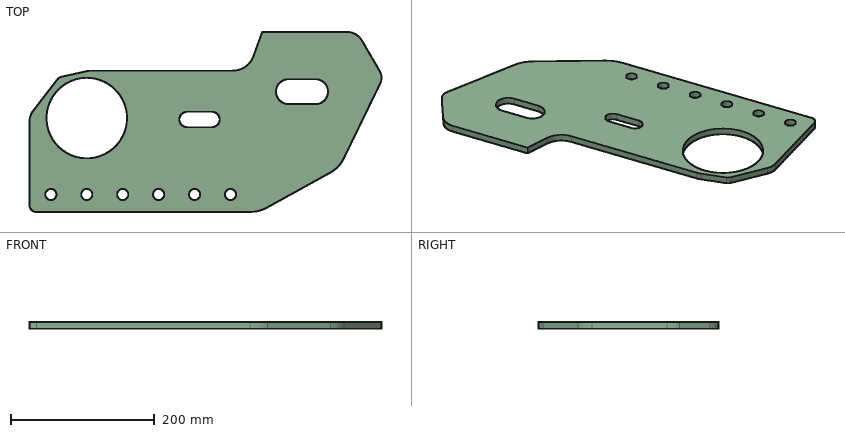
import cadquery as cq

thickness = 10.0
height = 251.0
shoulder_height = 197.0

outline_corners = [
    (0, 0, 10.0),
    (320.0, 0, 50.0),
    (431.5, 62.0, 45.0),
    (493.0, 188.0, 18.0),
    (456.0, height, 25.0),
    (324.0, height, 0),
    (304.5, shoulder_height, 30.0),
    (83.5, shoulder_height, 25.0),
    (41.0, 188.0, 10.0),
    (0, 134.5, 25.0),
]

opening_diameter = 112.0
opening_center = (80.0, 131.0)

small_slot_length = 56.0
small_slot_width = 21.0
small_slot_center = (237.0, 129.0)
large_slot_length = 72.0
large_slot_width = 34.5
large_slot_center = (379.5, 167.5)

hole_count = 6
hole_diameter = 15.0
hole_pitch = 50.0
first_hole_x = 30.0
hole_row_y = 24.5


def make_plate():
    """Extrude the polygon and round its vertical edges corner by corner."""
    points = [(x, y) for x, y, _ in outline_corners]
    plate = cq.Workplane("XY").polyline(points).close().extrude(thickness)
    for x, y, radius in outline_corners:
        if radius > 0:
            corner_edge = cq.selectors.NearestToPointSelector((x, y, thickness / 2))
            plate = plate.edges("|Z").edges(corner_edge).fillet(radius)
    return plate


def cut_slot(plate, center, length, width):
    """Cut a round-ended slot along X through the plate."""
    cutter = cq.Workplane("XY").center(*center).slot2D(length, width).extrude(thickness)
    return plate.cut(cutter)


def cut_round_holes(plate, centers, diameter):
    """Cut equal round holes through the plate."""
    cutters = cq.Workplane("XY").pushPoints(centers).circle(diameter / 2).extrude(thickness)
    return plate.cut(cutters)


hole_centers = [(first_hole_x + i * hole_pitch, hole_row_y) for i in range(hole_count)]

result = make_plate()
result = cut_round_holes(result, [opening_center], opening_diameter)
result = cut_round_holes(result, hole_centers, hole_diameter)
result = cut_slot(result, small_slot_center, small_slot_length, small_slot_width)
result = cut_slot(result, large_slot_center, large_slot_length, large_slot_width)